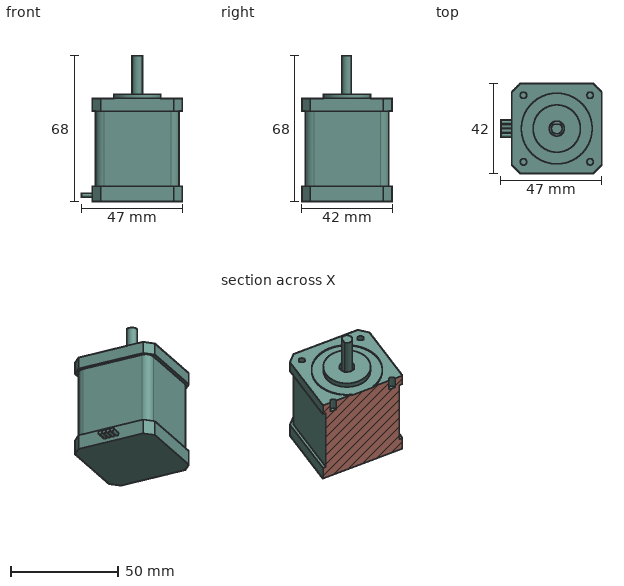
import cadquery as cq

cap_width = 42.0
cap_chamfer = 4.0
case_width = 39.0
case_corner_radius = 4.0
rear_cap_height = 7.2
front_cap_base = 42.15
front_cap_top = 48.0

recess_diameter = 33.0
recess_depth = 0.5
boss_diameter = 22.0
boss_height = 2.0
boss_bore_diameter = 7.0
boss_top = front_cap_top + boss_height

shaft_diameter = 5.0
shaft_flat_offset = 2.05
shaft_top = 68.0

hole_diameter = 3.0
hole_spacing = 31.0
hole_depth = front_cap_top - front_cap_base

wire_count = 4
wire_diameter = 2.0
wire_pitch = 2.05
wire_length = 4.95
wire_height = 3.0


def end_cap(base, top):
    """Square cap with chamfered vertical corners."""
    cap = cq.Workplane("XY").workplane(offset=base).rect(cap_width, cap_width).extrude(top - base)
    return cap.edges("|Z").chamfer(cap_chamfer)


def cylinder(diameter, base, top):
    """Cylinder on the motor axis."""
    return cq.Workplane("XY").workplane(offset=base).circle(diameter / 2).extrude(top - base)


def make_case():
    height = front_cap_base - rear_cap_height
    case = cq.Workplane("XY").workplane(offset=rear_cap_height).rect(case_width, case_width).extrude(height)
    return case.edges("|Z").fillet(case_corner_radius)


def make_mounting_holes():
    return (
        cq.Workplane("XY")
        .workplane(offset=front_cap_top - hole_depth)
        .rect(hole_spacing, hole_spacing, forConstruction=True)
        .vertices()
        .circle(hole_diameter / 2)
        .extrude(hole_depth)
    )


def make_shaft(base):
    height = shaft_top - base
    radius = shaft_diameter / 2
    keep_depth = radius + shaft_flat_offset
    keep = (
        cq.Workplane("XY")
        .workplane(offset=base)
        .center(0, shaft_flat_offset - keep_depth / 2)
        .rect(shaft_diameter, keep_depth)
        .extrude(height)
    )
    return cylinder(shaft_diameter, base, shaft_top).intersect(keep)


def make_wires():
    first_y = -wire_pitch * (wire_count - 1) / 2
    centers = [(first_y + i * wire_pitch, wire_height) for i in range(wire_count)]
    return (
        cq.Workplane("YZ")
        .workplane(offset=-cap_width / 2)
        .pushPoints(centers)
        .circle(wire_diameter / 2)
        .extrude(-wire_length)
    )


body = end_cap(0, rear_cap_height).union(make_case()).union(end_cap(front_cap_base, front_cap_top))
body = body.cut(make_mounting_holes())

recess_floor = front_cap_top - recess_depth
body = body.cut(cylinder(recess_diameter, recess_floor, front_cap_top))
body = body.union(cylinder(boss_diameter, recess_floor, boss_top))
body = body.cut(cylinder(boss_bore_diameter, front_cap_base, boss_top))

result = body.union(make_shaft(front_cap_base)).union(make_wires())